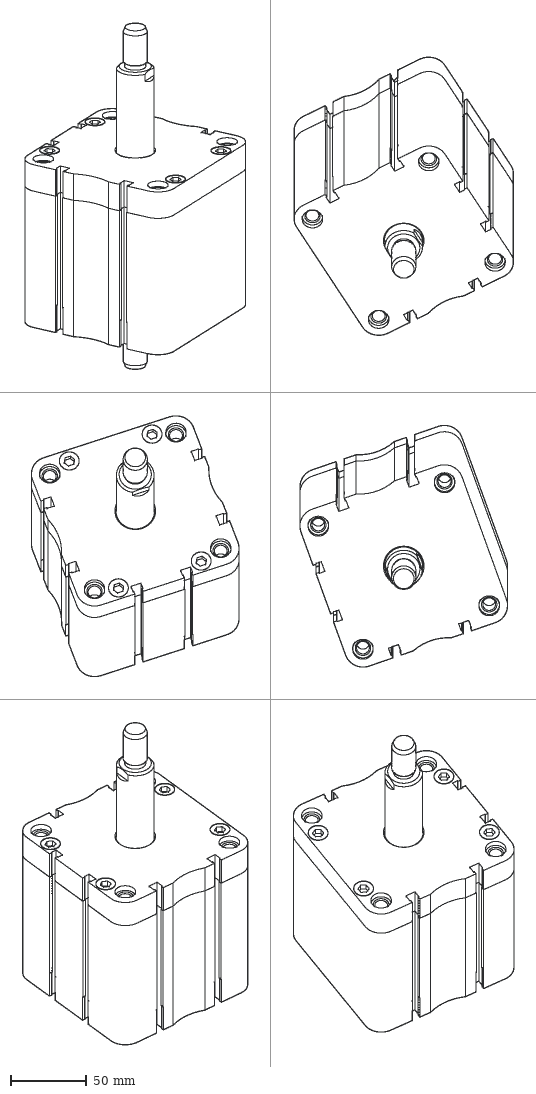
import cadquery as cq
import math

BODY_WIDTH = 113.5
BODY_HEIGHT = 117.0
END_HEIGHT = 19.0
CORNER_RADIUS = 12.5
HALF_WIDTH = BODY_WIDTH / 2
BARREL_TOP = BODY_HEIGHT - END_HEIGHT

HOLLOW_WIDTH = 27.0
HOLLOW_DEPTH = 2.7

SLOT_OFFSET_ON_Y_SIDES = 24.8
SLOT_OFFSET_ON_X_SIDE = 17.5
SLOT_DEPTH_ON_Y_SIDES = 7.3
SLOT_DEPTH_ON_X_SIDE = 6.0
SLOT_INNER_WIDTH = 7.0
SLOT_NECK_DEPTH = 2.2
BARREL_NECK_WIDTH = 5.3
END_NECK_WIDTH = 5.8

MOUNT_OFFSET = 44.5
MOUNT_RECESS_DIAMETER = 13.5
MOUNT_RECESS_DEPTH = 4.0
MOUNT_MOUTH_DIAMETER = 10.2
MOUNT_HOLE_DIAMETER = 8.5
MOUNT_CHAMFER = (MOUNT_MOUTH_DIAMETER - MOUNT_HOLE_DIAMETER) / 2

BORE_DIAMETER = 25.5
BORE_MOUTH_DIAMETER = 27.0
BORE_CHAMFER = (BORE_MOUTH_DIAMETER - BORE_DIAMETER) / 2

SCREW_X = 48.8
SCREW_Y = 29.2
SCREW_DIAMETER = 13.1
SCREW_HEIGHT = 8.0
SCREW_SINK = 0.36
SOCKET_ACROSS_FLATS = 6.3
SOCKET_DEPTH = 4.0
SOCKET_TURN = 30

TOTAL_LENGTH = 243
ROD_DIAMETER = 25.0
ROD_PROJECTION_BELOW = 9.5
SHOULDER_DIAMETER = 21.5
SHOULDER_CHAMFER_HEIGHT = 1.5
STUD_DIAMETER = 16.0
STUD_LENGTH = 28.2
STUD_TIP_DIAMETER = 13.5
STUD_TIP_HEIGHT = 3.2
NECK_DIAMETER = 14.0
NECK_LENGTH = 3.0
NECK_TAPER_HEIGHT = 0.7
FLATS_ACROSS = 22.0
FLATS_LENGTH = 6.3
ROD_BOTTOM = -ROD_PROJECTION_BELOW - STUD_LENGTH
ROD_TOP = ROD_BOTTOM + TOTAL_LENGTH

SIDES = (-1, 1)
MOUNT_PLACES = [(sx * MOUNT_OFFSET, sy * MOUNT_OFFSET) for sx in SIDES for sy in SIDES]
SCREW_PLACES = [(sx * SCREW_X, sy * SCREW_Y) for sx in SIDES for sy in SIDES]


def turned(points):
    """Solid of revolution about Z from (radius, height) points."""
    return cq.Workplane("XZ").polyline(points).close().revolve(360, (0, 0, 0), (0, 1, 0))


def turn_about_z(shape, angle):
    return shape.rotate((0, 0, 0), (0, 0, 1), angle)


def slot_cutter(offset, neck_width, depth, height):
    """Undercut slot in the -Y side at the given X offset, standing on Z = 0."""
    neck = (
        cq.Workplane("XY")
        .center(offset, -HALF_WIDTH)
        .rect(neck_width, 2 * SLOT_NECK_DEPTH)
        .extrude(height)
    )
    inner_depth = depth - SLOT_NECK_DEPTH
    inner = (
        cq.Workplane("XY")
        .center(offset, -HALF_WIDTH + SLOT_NECK_DEPTH + inner_depth / 2)
        .rect(SLOT_INNER_WIDTH, inner_depth)
        .extrude(height)
    )
    return neck.union(inner)


def hollow_cutter(height):
    """Round hollow in the -Y side, standing on Z = 0."""
    half_hollow = HOLLOW_WIDTH / 2
    return (
        cq.Workplane("XY")
        .moveTo(-half_hollow, -HALF_WIDTH)
        .threePointArc((0, HOLLOW_DEPTH - HALF_WIDTH), (half_hollow, -HALF_WIDTH))
        .close()
        .extrude(height)
    )


def housing_section(bottom, height, neck_width):
    """Length of the housing with its hollows and slots but no holes."""
    section = (
        cq.Workplane("XY")
        .rect(BODY_WIDTH, BODY_WIDTH)
        .extrude(height)
        .edges("|Z")
        .fillet(CORNER_RADIUS)
    )
    hollow = hollow_cutter(height)
    for side in SIDES:
        y_slot = slot_cutter(side * SLOT_OFFSET_ON_Y_SIDES, neck_width, SLOT_DEPTH_ON_Y_SIDES, height)
        x_slot = slot_cutter(side * SLOT_OFFSET_ON_X_SIDE, neck_width, SLOT_DEPTH_ON_X_SIDE, height)
        section = section.cut(turn_about_z(x_slot, -90))
        for angle in (0, 180):
            section = section.cut(turn_about_z(y_slot, angle))
    for angle in (0, 180):
        section = section.cut(turn_about_z(hollow, angle))
    return section.translate((0, 0, bottom))


def mount_hole_cutter():
    """Stepped hole going down from Z = 0, as deep as an end section."""
    ledge = -MOUNT_RECESS_DEPTH
    return turned([
        (0, 0),
        (MOUNT_RECESS_DIAMETER / 2, 0),
        (MOUNT_RECESS_DIAMETER / 2, ledge),
        (MOUNT_MOUTH_DIAMETER / 2, ledge),
        (MOUNT_HOLE_DIAMETER / 2, ledge - MOUNT_CHAMFER),
        (MOUNT_HOLE_DIAMETER / 2, -END_HEIGHT),
        (0, -END_HEIGHT),
    ])


def bore_cutter():
    """Rod bore through the whole height of the body."""
    bore = BORE_DIAMETER / 2
    mouth = BORE_MOUTH_DIAMETER / 2
    return turned([
        (0, 0),
        (mouth, 0),
        (bore, BORE_CHAMFER),
        (bore, BODY_HEIGHT - BORE_CHAMFER),
        (mouth, BODY_HEIGHT),
        (0, BODY_HEIGHT),
    ])


def make_housing():
    """Barrel with its lower end section."""
    barrel = housing_section(END_HEIGHT, BARREL_TOP - END_HEIGHT, BARREL_NECK_WIDTH)
    lower_end = housing_section(0, END_HEIGHT, END_NECK_WIDTH)
    housing = barrel.union(lower_end, clean=False).cut(bore_cutter(), clean=False)
    mount_hole = mount_hole_cutter().mirror("XY")
    for x, y in MOUNT_PLACES:
        housing = housing.cut(mount_hole.translate((x, y, 0)), clean=False)
    return housing


def make_cap():
    """Top cap with mounting holes and a recess for each screw."""
    cap = housing_section(BARREL_TOP, END_HEIGHT, END_NECK_WIDTH).cut(bore_cutter())
    mount_hole = mount_hole_cutter()
    for x, y in MOUNT_PLACES:
        cap = cap.cut(mount_hole.translate((x, y, BODY_HEIGHT)))
    recess = cq.Workplane("XY").circle(SCREW_DIAMETER / 2).extrude(-SCREW_SINK - SCREW_HEIGHT)
    for x, y in SCREW_PLACES:
        cap = cap.cut(recess.translate((x, y, BODY_HEIGHT)))
    return cap


def make_screw(x, y):
    """Screw head with a hexagon socket, filling its recess in the cap."""
    socket_across_corners = SOCKET_ACROSS_FLATS / math.cos(math.pi / 6)
    socket = cq.Workplane("XY").polygon(6, socket_across_corners).extrude(-SOCKET_DEPTH)
    head = cq.Workplane("XY").circle(SCREW_DIAMETER / 2).extrude(-SCREW_HEIGHT)
    screw = head.cut(turn_about_z(socket, SOCKET_TURN))
    return screw.translate((x, y, BODY_HEIGHT - SCREW_SINK))


def flat_cutter(side, shoulder, inward):
    """Spanner flat on one X side, from a shoulder inward, running out on a 45 degree ramp."""
    near = FLATS_ACROSS / 2
    far = ROD_DIAMETER
    finish = shoulder + inward * FLATS_LENGTH
    return (
        cq.Workplane("XZ")
        .polyline([
            (side * near, shoulder),
            (side * near, finish),
            (side * far, finish + inward * (far - near)),
            (side * far, shoulder),
        ])
        .close()
        .extrude(ROD_DIAMETER / 2, both=True)
    )


def make_rod():
    """Through rod with a necked stud, a chamfered shoulder and spanner flats at each end."""
    stud = STUD_DIAMETER / 2
    neck = NECK_DIAMETER / 2
    neck_start = STUD_LENGTH - NECK_LENGTH
    end_profile = [
        (0, 0),
        (STUD_TIP_DIAMETER / 2, 0),
        (stud, STUD_TIP_HEIGHT),
        (stud, neck_start - NECK_TAPER_HEIGHT),
        (neck, neck_start),
        (neck, STUD_LENGTH),
        (SHOULDER_DIAMETER / 2, STUD_LENGTH),
        (ROD_DIAMETER / 2, STUD_LENGTH + SHOULDER_CHAMFER_HEIGHT),
    ]
    lower = [(radius, ROD_BOTTOM + distance) for radius, distance in end_profile]
    upper = [(radius, ROD_TOP - distance) for radius, distance in reversed(end_profile)]
    rod = turned(lower + upper)
    for side in SIDES:
        rod = rod.cut(flat_cutter(side, ROD_BOTTOM + STUD_LENGTH, 1))
        rod = rod.cut(flat_cutter(side, ROD_TOP - STUD_LENGTH, -1))
    return rod


housing = make_housing()
cap = make_cap()
rod = make_rod()
screws = [make_screw(x, y) for x, y in SCREW_PLACES]

result = cq.Compound.makeCompound([
    housing.val(),
    cap.val(),
    rod.val(),
    *[screw.val() for screw in screws],
])